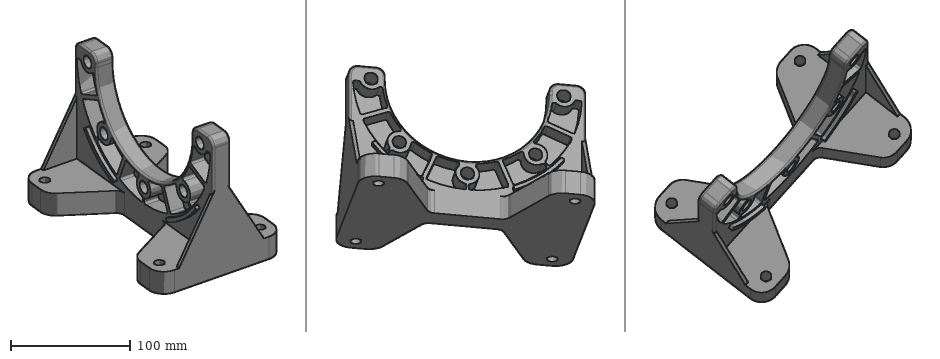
import cadquery as cq
import math

length = 202.0
depth = 127.0
height = 135.0

plate_thickness = 18.2
plate_front = -plate_thickness / 2
bore_radius = 70.0
bore_center_z = 123.0
arm_corner_radius = 8.0
edge_round = 2.0

bolt_circle_radius = 82.2
bolt_hole_diameter = 11.5
boss_radius = 10.0
bolt_pitch_angle = 45.0
bolt_angles = [180 + i * bolt_pitch_angle for i in range(5)]

pocket_inner_radius = 72.7
pocket_outer_radius = 97.8
pocket_depth = 14.5
pocket_corner_radius = 2.0
rib_thickness = 4.0
spoke_thickness = 1.8
arm_land_half_width = 3.0

ridge_inner_radius = 100.0
ridge_outer_radius = 103.6
ridge_height = 4.0
ridge_start_angle = 37.5
ridge_end_angle = 67.5
ridge_corner_radius = 0.8

foot_height = 21.8
foot_end_flat = 12.7
foot_corner_radius = 15.2
foot_slope_angle = 60.0
foot_root_radius = 8.0
foot_hole_diameter = 9.0
foot_hole_x = 83.8
foot_hole_y = 51.5

gusset_thickness = 3.5
gusset_reach = 43.5
gusset_angle = 60.0


def polar(radius, angle):
    """Point on the XZ plane at the given radius and angle about the bore centre."""
    a = math.radians(angle)
    return radius * math.cos(a), bore_center_z + radius * math.sin(a)


def front_sketch(y):
    """Workplane at the given Y with local axes X and Z, facing -Y."""
    return cq.Workplane("XZ", origin=(0, y, 0))


def ring_sector(y, thickness, inner_radius, outer_radius, start_angle, end_angle):
    """Annular sector starting at the given Y and extending toward -Y."""
    middle_angle = (start_angle + end_angle) / 2
    return (
        front_sketch(y)
        .moveTo(*polar(inner_radius, start_angle))
        .lineTo(*polar(outer_radius, start_angle))
        .threePointArc(polar(outer_radius, middle_angle), polar(outer_radius, end_angle))
        .lineTo(*polar(inner_radius, end_angle))
        .threePointArc(polar(inner_radius, middle_angle), polar(inner_radius, start_angle))
        .close()
        .extrude(thickness)
    )


def make_plate():
    """Upright plate with the open saddle bore, rounded arm tips and rounded edges."""
    half = length / 2
    plate = (
        front_sketch(plate_thickness / 2)
        .moveTo(-half, 0)
        .lineTo(half, 0)
        .lineTo(half, height)
        .lineTo(bore_radius, height)
        .lineTo(bore_radius, bore_center_z)
        .threePointArc(polar(bore_radius, 270), (-bore_radius, bore_center_z))
        .lineTo(-bore_radius, height)
        .lineTo(-half, height)
        .close()
        .extrude(plate_thickness)
    )
    tip_zone = cq.selectors.BoxSelector(
        (-length, -depth, height - edge_round), (length, depth, height + edge_round)
    )
    plate = plate.edges("|Y").edges(tip_zone).fillet(arm_corner_radius)
    bottom_edges = cq.selectors.BoxSelector(
        (-length, -depth, -edge_round), (length, depth, edge_round)
    )
    rounded_edges = cq.selectors.InverseSelector(bottom_edges)
    return plate.faces("<Y or >Y").edges(rounded_edges).fillet(edge_round)


def make_feet():
    """Two mirrored feet whose sloping sides run into the plate."""
    half_x = length / 2
    half_y = depth / 2
    slope = math.radians(foot_slope_angle)
    end_x = half_x - foot_corner_radius - foot_end_flat - foot_corner_radius * math.tan(slope / 2)
    root_y = plate_thickness / 2
    root_x = end_x - (half_y - root_y) / math.tan(slope)
    foot = (
        cq.Workplane("XY")
        .polyline([
            (0, -root_y),
            (root_x, -root_y),
            (end_x, -half_y),
            (half_x, -half_y),
            (half_x, half_y),
            (end_x, half_y),
            (root_x, root_y),
            (0, root_y),
        ])
        .close()
        .extrude(foot_height)
    )
    foot = foot.edges("|Z").edges("<Y or >Y").fillet(foot_corner_radius)
    root_zone = cq.selectors.BoxSelector(
        (root_x / 2, -depth, -height), (root_x * 1.1, depth, height)
    )
    foot = foot.edges("|Z").edges(root_zone).fillet(foot_root_radius)
    return foot.union(foot.mirror("YZ"))


def make_gussets():
    """Thin triangular webs along both outer sides, from the feet up to the arms."""
    apex_y = plate_thickness / 2 - edge_round
    apex_z = foot_height + (gusset_reach - apex_y) * math.tan(math.radians(gusset_angle))
    gusset = (
        cq.Workplane("YZ", origin=(-length / 2, 0, 0))
        .polyline([
            (-gusset_reach, foot_height),
            (gusset_reach, foot_height),
            (apex_y, apex_z),
            (-apex_y, apex_z),
        ])
        .close()
        .extrude(gusset_thickness)
    )
    return gusset.union(gusset.mirror("YZ"))


def make_spoke(angle, thickness, start_radius):
    """Radial bar at the given angle, from the start radius out past the pocket ring."""
    bar_length = length / 2 - start_radius
    return (
        cq.Workplane("XY")
        .box(bar_length, plate_thickness * 2, thickness)
        .translate((start_radius + bar_length / 2, plate_front, 0))
        .rotate((0, 0, 0), (0, 1, 0), -angle)
        .translate((0, 0, bore_center_z))
    )


def make_pockets():
    """Blind pockets of the plate front: a half ring less the ribs, spokes and bosses."""
    pockets = ring_sector(
        plate_front + pocket_depth, pocket_depth, pocket_inner_radius, pocket_outer_radius, 180, 360
    )
    for angle in bolt_angles:
        at_arm = angle in (bolt_angles[0], bolt_angles[-1])
        thickness = 2 * arm_land_half_width if at_arm else spoke_thickness
        pockets = pockets.cut(make_spoke(angle, thickness, bolt_circle_radius))
    for angle in bolt_angles[:-1]:
        pockets = pockets.cut(make_spoke(angle + bolt_pitch_angle / 2, rib_thickness, bore_radius))
    bosses = (
        front_sketch(plate_thickness)
        .pushPoints([polar(bolt_circle_radius, angle) for angle in bolt_angles])
        .circle(boss_radius)
        .extrude(plate_thickness * 2)
    )
    return pockets.cut(bosses).edges("|Y").fillet(pocket_corner_radius)


def make_ridges():
    """Curved ridges below the outer bosses, mirrored about the centre plane."""
    ridge = ring_sector(
        plate_front, ridge_height, ridge_inner_radius, ridge_outer_radius,
        -ridge_end_angle, -ridge_start_angle,
    )
    ridge = ridge.edges("|Y").fillet(ridge_corner_radius)
    return ridge.union(ridge.mirror("YZ"))


def make_bolt_holes():
    """Through holes at the centres of the bosses."""
    return (
        front_sketch(plate_thickness)
        .pushPoints([polar(bolt_circle_radius, angle) for angle in bolt_angles])
        .circle(bolt_hole_diameter / 2)
        .extrude(plate_thickness * 2)
    )


def make_foot_holes():
    """Vertical through holes, one in each foot corner."""
    return (
        cq.Workplane("XY")
        .rect(2 * foot_hole_x, 2 * foot_hole_y, forConstruction=True)
        .vertices()
        .circle(foot_hole_diameter / 2)
        .extrude(foot_height)
    )


result = (
    make_plate()
    .cut(make_pockets())
    .union(make_feet())
    .union(make_gussets())
    .union(make_ridges())
    .cut(make_bolt_holes())
    .cut(make_foot_holes())
)